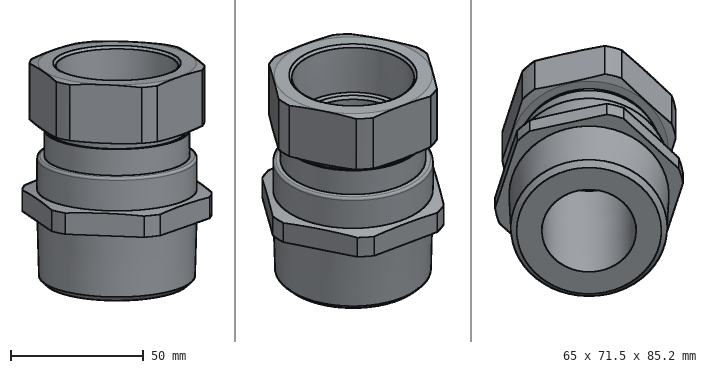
import cadquery as cq
import math

thread_chamfer_top = 2.1
flange_bottom = 26.85
flange_top = 36.0
collar_top = 49.0
neck_top = 59.25
nut_bottom = 62.2
body_top = 65.4
nut_top = 85.25

thread_end_radius = 27.2
thread_small_radius = 29.4
collar_radius = 30.1
neck_radius = 27.4
spigot_radius = 26.4
collar_fillet = 1.0

passage_bottom_radius = 17.7
passage_top_radius = 18.8
passage_chamfer = 1.1

flange_flats = 65.0
flange_corners = 71.5
flange_crown_drop = 0.85
nut_flats = 60.1
nut_corners = 66.0
nut_crown_radius = 29.75
nut_crown_drop = 0.6

nut_bore_bottom_radius = 22.3
nut_bore_top_radius = 23.0
nut_bore_chamfer = 1.0


def revolve_profile(points):
    """Revolve a closed (radius, height) profile about the Z axis."""
    return cq.Workplane("XZ").polyline(points).close().revolve(360, (0, 0), (0, 1))


def hex_prism(flats, bottom, top):
    """Hexagonal prism with two flats facing -X and +X."""
    across_points = flats / math.cos(math.pi / 6)
    return (
        cq.Workplane("XY", origin=(0, 0, bottom))
        .transformed(rotate=(0, 0, 30))
        .polygon(6, across_points)
        .extrude(top - bottom)
    )


def make_flange():
    """Wrench flange with rounded corners and a shallow conical crown."""
    corner_radius = flange_corners / 2
    envelope = revolve_profile([
        (0, flange_bottom),
        (corner_radius, flange_bottom),
        (corner_radius, flange_top - flange_crown_drop),
        (collar_radius, flange_top),
        (0, flange_top),
    ])
    return hex_prism(flange_flats, flange_bottom, flange_top).intersect(envelope)


def make_body():
    """Tapered thread, wrench flange, collar, neck and spigot with a passage."""
    barrel = revolve_profile([
        (0, 0),
        (thread_end_radius, 0),
        (thread_small_radius, thread_chamfer_top),
        (collar_radius, flange_bottom),
        (collar_radius, collar_top),
        (neck_radius, collar_top),
        (neck_radius, neck_top),
        (spigot_radius, neck_top),
        (spigot_radius, body_top),
        (0, body_top),
    ])
    rim_zone = cq.selectors.BoxSelector(
        (-collar_radius, -collar_radius, collar_top - collar_fillet),
        (collar_radius, collar_radius, collar_top + collar_fillet),
    )
    collar_rim = cq.selectors.RadiusNthSelector(-1)
    barrel = barrel.edges("%CIRCLE").edges(rim_zone).edges(collar_rim).fillet(collar_fillet)
    passage = revolve_profile([
        (0, 0),
        (passage_bottom_radius, 0),
        (passage_top_radius, body_top - passage_chamfer),
        (passage_top_radius + passage_chamfer, body_top),
        (0, body_top),
    ])
    return barrel.union(make_flange()).cut(passage).solids()


def make_nut():
    """Hexagonal nut, crowned at both ends, bored and recessed for the spigot."""
    corner_radius = nut_corners / 2
    envelope = revolve_profile([
        (0, nut_bottom),
        (nut_crown_radius, nut_bottom),
        (corner_radius, nut_bottom + nut_crown_drop),
        (corner_radius, nut_top - nut_crown_drop),
        (nut_crown_radius, nut_top),
        (0, nut_top),
    ])
    bore = revolve_profile([
        (0, nut_bottom),
        (spigot_radius, nut_bottom),
        (spigot_radius, body_top),
        (nut_bore_bottom_radius, body_top),
        (nut_bore_top_radius, nut_top - nut_bore_chamfer),
        (nut_bore_top_radius + nut_bore_chamfer, nut_top),
        (0, nut_top),
    ])
    return hex_prism(nut_flats, nut_bottom, nut_top).intersect(envelope).cut(bore).solids()


body = make_body()
nut = make_nut()

result = cq.Compound.makeCompound([body.val(), nut.val()])